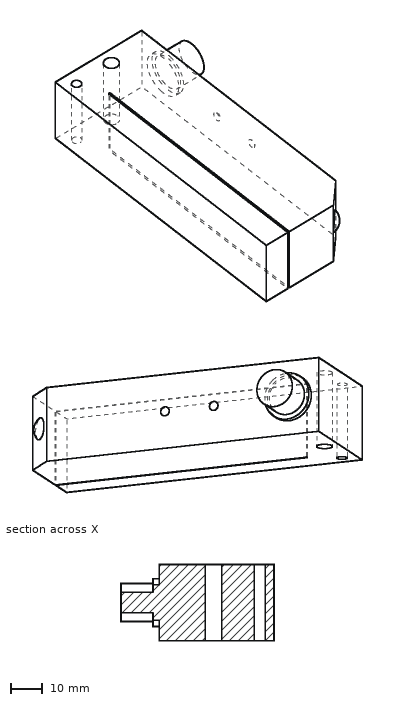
import cadquery as cq

length = 100.0
width = 36.0
height = 24.0
corner_cut = 8.0
mid_height = height / 2

slot_start = 15.0
slot_middle_y = 9.3
slot_width = 0.6

hole_x = 5.0
large_hole_diameter = 5.0
large_hole_y = 19.0
small_hole_diameter = 3.2
small_hole_y = 4.5

connector_x = 10.0
flange_diameter = 15.0
flange_thickness = 2.0
barrel_diameter = 12.0
connector_length = 12.0

small_lamp_positions = (35.5, 52.0)
small_lamp_diameter = 2.9
small_lamp_rise = 0.9
large_lamp_diameter = 7.0
large_lamp_rise = 1.6


def make_body():
    block = cq.Workplane("XY").box(length, width, height, centered=False)
    return block.edges("|Z and >X and >Y").chamfer(corner_cut)


def make_slot():
    slot_length = length - slot_start
    slot = cq.Workplane("XY").box(slot_length, slot_width, height, centered=(False, True, False))
    return slot.translate((slot_start, slot_middle_y, 0))


def make_hole(y, diameter):
    return cq.Workplane("XY").center(hole_x, y).circle(diameter / 2).extrude(height)


def side_plane(x, y, outward):
    """Plane at mid height lying on a side face, with its normal along `outward`."""
    return cq.Plane(origin=(x, y, mid_height), xDir=(0, 0, 1), normal=outward)


def make_connector():
    plane = side_plane(connector_x, width, (0, 1, 0))
    flange = cq.Workplane(plane).circle(flange_diameter / 2).extrude(flange_thickness)
    barrel = cq.Workplane(plane).circle(barrel_diameter / 2).extrude(connector_length)
    return flange.union(barrel)


def make_lamp(plane, diameter, rise):
    """Spherical cap standing on a side face."""
    radius = diameter / 2
    sphere_radius = (radius**2 + rise**2) / (2 * rise)
    sphere_depth = sphere_radius - rise
    sphere = cq.Workplane(plane).workplane(offset=-sphere_depth).sphere(sphere_radius)
    outer_side = cq.Workplane(plane).circle(radius).extrude(diameter)
    return sphere.intersect(outer_side)


result = make_body().cut(make_slot())
result = result.cut(make_hole(large_hole_y, large_hole_diameter))
result = result.cut(make_hole(small_hole_y, small_hole_diameter))
result = result.union(make_connector())

for lamp_x in small_lamp_positions:
    lamp_plane = side_plane(lamp_x, width, (0, 1, 0))
    result = result.union(make_lamp(lamp_plane, small_lamp_diameter, small_lamp_rise))

corner_plane = side_plane(length - corner_cut / 2, width - corner_cut / 2, (1, 1, 0))
result = result.union(make_lamp(corner_plane, large_lamp_diameter, large_lamp_rise))